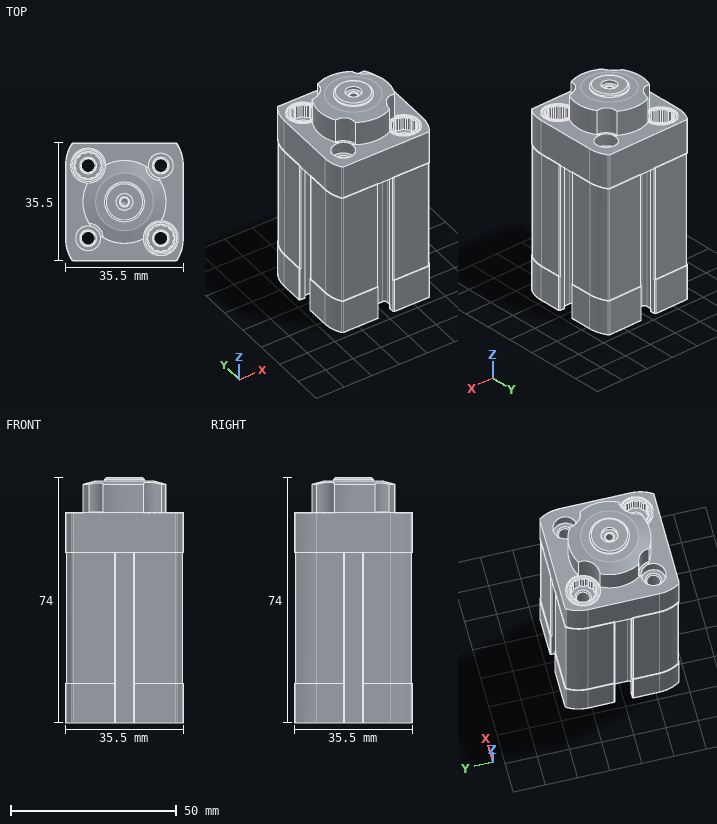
import cadquery as cq
import math


TOTAL_HEIGHT = 74.0
END_CAP_HEIGHT = 12.0
HOUSING_HEIGHT = 63.5
COLLAR_TOP = 73.05
COLLAR_SHOULDER = 72.0
BARREL_TOP = HOUSING_HEIGHT - END_CAP_HEIGHT

WIDTH = 35.5
BARREL_INSET = 0.2
FLAT_HALF_LENGTH = 11.1
SIDE_ARC_RADIUS = 12.0
CORNER_ROUND_RADIUS = 0.75

COLLAR_DIAMETER = 25.0
COLLAR_TOP_DIAMETER = 17.4

HOLE_OFFSET = 10.95
HOLE_DIAMETER = 4.15
HOLE_MOUTH_DIAMETER = 5.0
COUNTERBORE_DIAMETER = 7.5
COUNTERBORE_DEPTH = 4.0
NOTCH_DIAMETER = 9.0
NOTCH_LEDGE = 0.15

SOCKET_RING_DIAMETER = 10.5
SOCKET_RING_TOP_DIAMETER = 9.6
SOCKET_RING_BEVEL = 0.45
SOCKET_DEPTH = 4.7
SOCKET_TEETH = 12
SOCKET_TIP_DIAMETER = 7.7
SOCKET_ROOT_DIAMETER = 8.4
SOCKET_MOUTH_DIAMETER = 8.5
SOCKET_MOUTH_DEPTH = 0.2
LAND_HALF_ANGLE = 5.0

SLOT_MOUTH_WIDTH = 6.0
SLOT_CHAMFER = 0.3
SLOT_UNDERCUT = 1.0
SLOT_LIP = 2.1
SLOT_DEPTH = 6.0
SLOT_FLOOR_RADIUS = 1.0

ROD_DIAMETER = 12.0
ROD_CHAMFER = 0.5
ROD_BOTTOM = END_CAP_HEIGHT
RECESS_DIAMETER = 5.0
RECESS_DEPTH = 1.2
ROD_HOLE_DIAMETER = 2.45
ROD_HOLE_MOUTH_DIAMETER = 3.0
ROD_HOLE_DEPTH = 5.9
DRILL_POINT_ANGLE = 118.0


def cylinder(diameter, bottom, top):
    return cq.Workplane("XY").workplane(offset=bottom).circle(diameter / 2).extrude(top - bottom)


def cone(bottom_diameter, top_diameter, bottom, top):
    return cq.Workplane(cq.Solid.makeCone(
        bottom_diameter / 2, top_diameter / 2, top - bottom, pnt=cq.Vector(0, 0, bottom)))


def square_block(inset, bottom, top):
    """Block with the housing's cross-section, moved inwards by the inset."""
    half = WIDTH / 2 - inset
    arc_radius = SIDE_ARC_RADIUS - inset
    round_radius = CORNER_ROUND_RADIUS - inset
    arc_x = arc_radius - half
    arc_y = FLAT_HALF_LENGTH

    round_y = half - round_radius
    center_distance = arc_radius - round_radius
    touch_angle = math.asin((round_y - arc_y) / center_distance)
    round_x = arc_x - center_distance * math.cos(touch_angle)

    def on_circle(center_x, center_y, radius, angle):
        return center_x - radius * math.cos(angle), center_y + radius * math.sin(angle)

    arc_middle = on_circle(arc_x, arc_y, arc_radius, touch_angle / 2)
    touch_point = on_circle(arc_x, arc_y, arc_radius, touch_angle)
    round_middle = on_circle(round_x, round_y, round_radius, (touch_angle + math.pi / 2) / 2)
    return (
        cq.Workplane("XY").workplane(offset=bottom)
        .moveTo(-half, 0)
        .lineTo(-half, arc_y)
        .threePointArc(arc_middle, touch_point)
        .threePointArc(round_middle, (round_x, half))
        .lineTo(0, half)
        .mirrorY().mirrorX()
        .extrude(top - bottom)
    )


def collar():
    body = cylinder(COLLAR_DIAMETER, HOUSING_HEIGHT, COLLAR_SHOULDER)
    return body.union(cone(COLLAR_DIAMETER, COLLAR_TOP_DIAMETER, COLLAR_SHOULDER, COLLAR_TOP))


def slot_cutter(inset, bottom, top):
    """T-slot in the -Y side; the lips start at the inset face and the floor depth stays the same."""
    face = inset - WIDTH / 2
    throat = SLOT_MOUTH_WIDTH / 2 - SLOT_CHAMFER
    inner = throat + SLOT_UNDERCUT
    lip_back = SLOT_LIP - WIDTH / 2
    floor = SLOT_DEPTH - WIDTH / 2
    mouth_and_throat = (
        cq.Workplane("XY").workplane(offset=bottom)
        .moveTo(-throat - SLOT_CHAMFER, face)
        .lineTo(-throat, face + SLOT_CHAMFER)
        .lineTo(-throat, lip_back)
        .lineTo(throat, lip_back)
        .lineTo(throat, face + SLOT_CHAMFER)
        .lineTo(throat + SLOT_CHAMFER, face)
        .close().extrude(top - bottom)
    )
    chamber = (
        cq.Workplane("XY").workplane(offset=bottom)
        .center(0, (lip_back + floor) / 2)
        .rect(2 * inner, floor - lip_back)
        .extrude(top - bottom)
        .edges("|Z and >Y").fillet(SLOT_FLOOR_RADIUS)
    )
    return mouth_and_throat.union(chamber)


def threaded_hole_cutter(floor):
    """Hole through the whole housing with a chamfered mouth at the given floor height."""
    chamfer = (HOLE_MOUTH_DIAMETER - HOLE_DIAMETER) / 2
    hole = cylinder(HOLE_DIAMETER, 0, floor)
    return hole.union(cone(HOLE_DIAMETER, HOLE_MOUTH_DIAMETER, floor - chamfer, floor))


def counterbore_cutter():
    floor = HOUSING_HEIGHT - COUNTERBORE_DEPTH
    notch_floor = HOUSING_HEIGHT + NOTCH_LEDGE
    notch = cylinder(NOTCH_DIAMETER, notch_floor, COLLAR_TOP)
    counterbore = cylinder(COUNTERBORE_DIAMETER, floor, notch_floor)
    return threaded_hole_cutter(floor).union(counterbore).union(notch)


def socket_cutter():
    floor = HOUSING_HEIGHT - SOCKET_DEPTH
    pitch = 360 / SOCKET_TEETH
    first_land = 45

    def polar(diameter, angle):
        turn = math.radians(angle)
        return diameter / 2 * math.cos(turn), diameter / 2 * math.sin(turn)

    outline = cq.Workplane("XY").workplane(offset=floor)
    outline = outline.moveTo(*polar(SOCKET_TIP_DIAMETER, first_land - LAND_HALF_ANGLE))
    for tooth in range(SOCKET_TEETH):
        land = first_land + tooth * pitch
        outline = (
            outline
            .threePointArc(
                polar(SOCKET_TIP_DIAMETER, land),
                polar(SOCKET_TIP_DIAMETER, land + LAND_HALF_ANGLE))
            .lineTo(*polar(SOCKET_ROOT_DIAMETER, land + pitch / 2))
            .lineTo(*polar(SOCKET_TIP_DIAMETER, land + pitch - LAND_HALF_ANGLE))
        )
    socket = outline.close().extrude(SOCKET_DEPTH)

    mouth = cone(SOCKET_TIP_DIAMETER, SOCKET_MOUTH_DIAMETER,
                 HOUSING_HEIGHT - SOCKET_MOUTH_DEPTH, HOUSING_HEIGHT)
    groove_bottom = HOUSING_HEIGHT - SOCKET_RING_BEVEL
    rim_groove = cylinder(SOCKET_RING_DIAMETER, groove_bottom, HOUSING_HEIGHT).cut(
        cone(SOCKET_RING_DIAMETER, SOCKET_RING_TOP_DIAMETER, groove_bottom, HOUSING_HEIGHT))
    notch = cylinder(SOCKET_RING_DIAMETER, HOUSING_HEIGHT, COLLAR_TOP)
    return threaded_hole_cutter(floor).union(socket).union(mouth).union(rim_groove).union(notch)


def build_housing():
    sections = [
        (0, 0, END_CAP_HEIGHT),
        (BARREL_INSET, END_CAP_HEIGHT, BARREL_TOP),
    ]
    body = square_block(0, BARREL_TOP, HOUSING_HEIGHT).union(collar())
    for inset, bottom, top in sections:
        section = square_block(inset, bottom, top)
        slot = slot_cutter(inset, bottom, top)
        for side in range(4):
            section = section.cut(slot.rotate((0, 0, 0), (0, 0, 1), 90 * side))
        body = body.union(section)

    counterbore = counterbore_cutter()
    socket = socket_cutter()
    for side in (-1, 1):
        body = body.cut(counterbore.translate((side * HOLE_OFFSET, side * HOLE_OFFSET, 0)))
        body = body.cut(socket.translate((side * HOLE_OFFSET, -side * HOLE_OFFSET, 0)))
    return body.cut(cylinder(ROD_DIAMETER, ROD_BOTTOM, COLLAR_TOP))


def build_rod():
    body = cylinder(ROD_DIAMETER, ROD_BOTTOM, TOTAL_HEIGHT).faces(">Z").chamfer(ROD_CHAMFER)
    recess_floor = TOTAL_HEIGHT - RECESS_DEPTH
    hole_bottom = recess_floor - ROD_HOLE_DEPTH
    mouth_chamfer = (ROD_HOLE_MOUTH_DIAMETER - ROD_HOLE_DIAMETER) / 2
    point_depth = ROD_HOLE_DIAMETER / 2 / math.tan(math.radians(DRILL_POINT_ANGLE / 2))
    body = body.cut(cylinder(RECESS_DIAMETER, recess_floor, TOTAL_HEIGHT))
    body = body.cut(cylinder(ROD_HOLE_DIAMETER, hole_bottom, recess_floor))
    body = body.cut(cone(ROD_HOLE_DIAMETER, ROD_HOLE_MOUTH_DIAMETER,
                         recess_floor - mouth_chamfer, recess_floor))
    return body.cut(cone(0, ROD_HOLE_DIAMETER, hole_bottom - point_depth, hole_bottom))


housing = build_housing()
rod = build_rod()
result = cq.Compound.makeCompound([housing.solids().val(), rod.solids().val()])